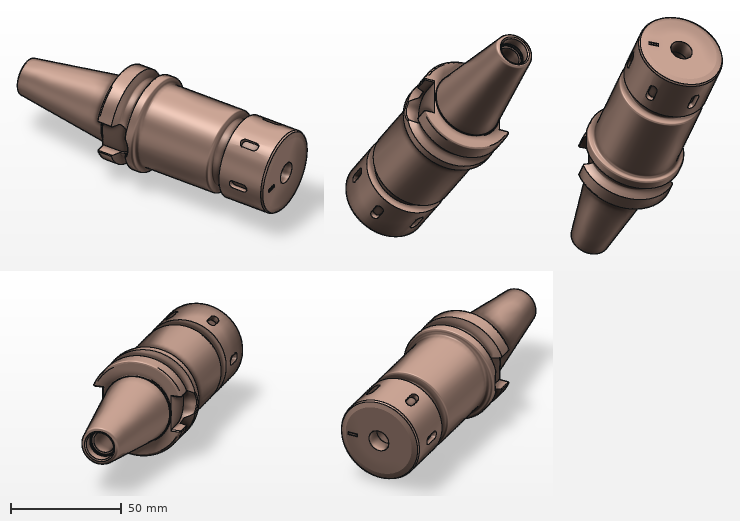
import cadquery as cq
import math


GAUGE_RADIUS = 31.75 / 2
TAPER_SLOPE = 7 / 24 / 2
SHANK_LENGTH = 48.4
TIP_ROUND = 1.4
LAND_RADIUS = 32.2 / 2
LAND_START = 1.0
LAND_ROOT_ROUND = 0.4

FLANGE_RADIUS = 46 / 2
FLANGE_START = 2.0
FLANGE_END = 22.0
FLANGE_ROUND = 1.0
GROOVE_CENTRE = 13.6
GROOVE_WIDTH = 8.0
GROOVE_DEPTH = 3.9
GROOVE_ROUND = 0.6
GROOVE_HALF_ANGLE = math.radians(30)

SLOT_WIDTH = 16.38
SLOT_END = 19.0
SLOT_EDGE_BREAK = 0.5
SLOT_FLOOR = 16.3
EDGE_MARGIN = 0.1

BODY_RADIUS = 40 / 2
BODY_END = 60.0
BODY_ROUND = 1.0
BODY_ROOT_ROUND = 1.5
NECK_RADIUS = 32 / 2
NECK_ROOT_ROUND = 0.5
NECK_END = 82.0

BORE_RADIUS = 10.11 / 2
COUNTERBORE_RADIUS = 13.1 / 2
COUNTERBORE_DEPTH = 5.0
STEP_RADIUS = 12.5 / 2
STEP_LENGTH = 1.0
RUNOUT_RADIUS = 12.0 / 2
RUNOUT_DEPTH = STEP_RADIUS - RUNOUT_RADIUS
MOUTH_HALF_ANGLE = math.radians(60)
MOUTH_RADIUS = 14.6 / 2
MOUTH_DEPTH = (MOUTH_RADIUS - COUNTERBORE_RADIUS) / math.tan(MOUTH_HALF_ANGLE)

NUT_RADIUS = BODY_RADIUS
NUT_START = 66.0
NUT_FACE = 89.6
NUT_BEVEL_START = 88.1
NUT_RIM = 89.0
NUT_RIM_RADIUS = 19.5
NUT_FACE_RADIUS = 16.9

SPANNER_SLOT_COUNT = 6
SPANNER_SLOT_LENGTH = 9.2
SPANNER_SLOT_WIDTH = 4.0
SPANNER_SLOT_CENTRE = 76.1
SPANNER_SLOT_DEPTH = 2.5

MARK_END = 90.0
MARK_INNER = 11.0
MARK_OUTER = 15.6
MARK_WIDTH = 1.2


def turned(profile):
    """Revolve a closed profile, drawn as (x, radius), about the X axis."""
    return profile.close().revolve(360, (0, 0, 0), (1, 0, 0))


def cylinder(radius, start, end):
    return cq.Workplane("YZ", origin=(start, 0, 0)).circle(radius).extrude(end - start)


def shank():
    tip_radius = GAUGE_RADIUS - SHANK_LENGTH * TAPER_SLOPE
    taper = turned(
        cq.Workplane("XY")
        .moveTo(-SHANK_LENGTH, 0)
        .lineTo(-SHANK_LENGTH, tip_radius)
        .lineTo(LAND_START, GAUGE_RADIUS + LAND_START * TAPER_SLOPE)
        .lineTo(LAND_START, LAND_RADIUS)
        .lineTo(FLANGE_START - LAND_ROOT_ROUND, LAND_RADIUS)
        .radiusArc((FLANGE_START, LAND_RADIUS + LAND_ROOT_ROUND), -LAND_ROOT_ROUND)
        .lineTo(FLANGE_START, 0)
    )
    return taper.faces("<X").edges().fillet(TIP_ROUND)


def groove():
    """Ring that cuts the V groove, with rounded bottom corners."""
    half_top = GROOVE_WIDTH / 2
    half_bottom = half_top - GROOVE_DEPTH * math.tan(GROOVE_HALF_ANGLE)
    bottom_radius = FLANGE_RADIUS - GROOVE_DEPTH
    ring = turned(
        cq.Workplane("XY")
        .moveTo(GROOVE_CENTRE - half_top, FLANGE_RADIUS)
        .lineTo(GROOVE_CENTRE - half_bottom, bottom_radius)
        .lineTo(GROOVE_CENTRE + half_bottom, bottom_radius)
        .lineTo(GROOVE_CENTRE + half_top, FLANGE_RADIUS)
    )
    return ring.edges(cq.selectors.RadiusNthSelector(0)).fillet(GROOVE_ROUND)


def drive_slot(side):
    """Round-ended slot open towards the shank; side is -1 or +1 along Y."""
    half_width = SLOT_WIDTH / 2
    arc_centre = SLOT_END - half_width
    return (
        cq.Workplane("XZ", origin=(0, side * SLOT_FLOOR, 0))
        .moveTo(FLANGE_START, -half_width)
        .lineTo(arc_centre, -half_width)
        .threePointArc((SLOT_END, 0), (arc_centre, half_width))
        .lineTo(FLANGE_START, half_width)
        .close()
        .extrude(-side * FLANGE_RADIUS)
    )


def break_slot_edges(flange):
    """Chamfer the slot edges on the flange's front face and on its full-diameter rims."""
    groove_front = GROOVE_CENTRE - GROOVE_WIDTH / 2
    groove_rear = GROOVE_CENTRE + GROOVE_WIDTH / 2
    half_width = SLOT_WIDTH / 2
    reach = FLANGE_RADIUS + EDGE_MARGIN
    for side in (-1, 1):
        inner = side * (SLOT_FLOOR + EDGE_MARGIN)
        outer = side * reach
        for wall in (-half_width, half_width):
            wall_edges = cq.selectors.BoxSelector(
                (FLANGE_START - EDGE_MARGIN, inner, wall - EDGE_MARGIN),
                (groove_front, outer, wall + EDGE_MARGIN),
            )
            flange = flange.edges(wall_edges).chamfer(SLOT_EDGE_BREAK)
        end_edges = cq.selectors.BoxSelector(
            (groove_rear + EDGE_MARGIN, side * (FLANGE_RADIUS - FLANGE_ROUND), -half_width),
            (SLOT_END + EDGE_MARGIN, outer, half_width),
        )
        flange = flange.edges(end_edges).chamfer(SLOT_EDGE_BREAK)
    return flange


def body():
    """Flange, cylindrical body and neck with their rounded shoulders."""
    profile = turned(
        cq.Workplane("XY")
        .moveTo(FLANGE_START, 0)
        .lineTo(FLANGE_START, FLANGE_RADIUS - FLANGE_ROUND)
        .radiusArc((FLANGE_START + FLANGE_ROUND, FLANGE_RADIUS), FLANGE_ROUND)
        .lineTo(FLANGE_END - FLANGE_ROUND, FLANGE_RADIUS)
        .radiusArc((FLANGE_END, FLANGE_RADIUS - FLANGE_ROUND), FLANGE_ROUND)
        .lineTo(FLANGE_END, BODY_RADIUS + BODY_ROOT_ROUND)
        .radiusArc((FLANGE_END + BODY_ROOT_ROUND, BODY_RADIUS), -BODY_ROOT_ROUND)
        .lineTo(BODY_END - BODY_ROUND, BODY_RADIUS)
        .radiusArc((BODY_END, BODY_RADIUS - BODY_ROUND), BODY_ROUND)
        .lineTo(BODY_END, NECK_RADIUS + NECK_ROOT_ROUND)
        .radiusArc((BODY_END + NECK_ROOT_ROUND, NECK_RADIUS), -NECK_ROOT_ROUND)
        .lineTo(NECK_END, NECK_RADIUS)
        .lineTo(NECK_END, 0)
    )
    profile = profile.cut(groove())
    for side in (-1, 1):
        profile = profile.cut(drive_slot(side))
    return break_slot_edges(profile)


def holder_bore():
    """Stepped hole: countersunk mouth, counterbore, narrower step, cone, then the through bore."""
    tip = -SHANK_LENGTH
    step_end = tip + COUNTERBORE_DEPTH + STEP_LENGTH
    return turned(
        cq.Workplane("XY")
        .moveTo(tip, 0)
        .lineTo(tip, MOUTH_RADIUS)
        .lineTo(tip + MOUTH_DEPTH, COUNTERBORE_RADIUS)
        .lineTo(tip + COUNTERBORE_DEPTH, COUNTERBORE_RADIUS)
        .lineTo(tip + COUNTERBORE_DEPTH, STEP_RADIUS)
        .lineTo(step_end, STEP_RADIUS)
        .lineTo(step_end + RUNOUT_DEPTH, RUNOUT_RADIUS)
        .lineTo(step_end + RUNOUT_DEPTH, BORE_RADIUS)
        .lineTo(NECK_END, BORE_RADIUS)
        .lineTo(NECK_END, 0)
    )


def make_holder():
    return shank().union(body()).cut(holder_bore())


def spanner_slot(angle):
    """Flat-floored slot that enters the nut radially from -Y, turned about X by angle."""
    slot = (
        cq.Workplane("XZ", origin=(SPANNER_SLOT_CENTRE, SPANNER_SLOT_DEPTH - NUT_RADIUS, 0))
        .slot2D(SPANNER_SLOT_LENGTH, SPANNER_SLOT_WIDTH)
        .extrude(NUT_RADIUS)
    )
    return slot.rotate((0, 0, 0), (1, 0, 0), angle)


def index_mark():
    """Small bar standing on the nut face, on the -Y side of the axis."""
    bar = cq.Workplane("XY").box(
        MARK_END - NUT_FACE,
        MARK_OUTER - MARK_INNER,
        MARK_WIDTH,
        centered=(False, False, True),
    )
    return bar.translate((NUT_FACE, -MARK_OUTER, 0))


def make_nut():
    nut = turned(
        cq.Workplane("XY")
        .moveTo(NUT_START, 0)
        .lineTo(NUT_START, NUT_RADIUS)
        .lineTo(NUT_BEVEL_START, NUT_RADIUS)
        .lineTo(NUT_RIM, NUT_RIM_RADIUS)
        .lineTo(NUT_FACE, NUT_FACE_RADIUS)
        .lineTo(NUT_FACE, 0)
    )
    nut = nut.cut(cylinder(NECK_RADIUS, NUT_START, NECK_END))
    nut = nut.cut(cylinder(BORE_RADIUS, NECK_END, NUT_FACE))
    for index in range(SPANNER_SLOT_COUNT):
        nut = nut.cut(spanner_slot(index * 360 / SPANNER_SLOT_COUNT))
    return nut.union(index_mark())


holder = make_holder()
nut = make_nut()
result = cq.Compound.makeCompound([holder.val(), nut.val()])